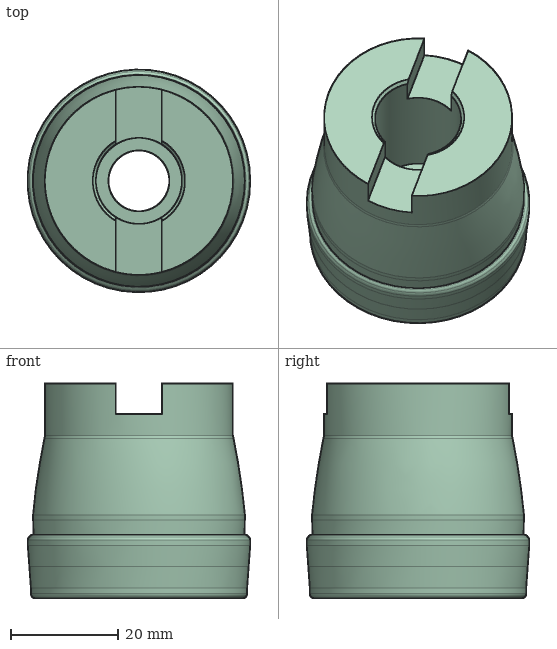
import cadquery as cq

total_height = 40.0
base_height = 11.85

rim_radius = 20.75
shoulder_radius = 20.4
foot_radius = 20.15
sole_radius = 19.33
through_hole_diameter = 11.3
rim_bottom_z = 9.9
rim_top_z = 10.9
shoulder_z = 11.5
crest_radius = 19.9
wall_middle_z = 6.0
foot_top_z = 1.95
foot_bottom_z = 1.0
arc_bulge = 0.7

neck_diameter = 35.0
neck_radius = neck_diameter / 2
belly_radius = 19.75
sleeve_seat_radius = 19.65
belly_bottom_z = 14.6
belly_top_z = 15.6
flare_middle_z = 22.97
flare_middle_radius = 18.83
flare_top_z = 29.78
flare_top_radius = 17.62
neck_bottom_z = 30.3
bore_diameter = 16.0
bore_chamfer = 0.6
slot_width = 8.55
slot_depth = 5.7


def bottom_round_middle():
    """Point halfway along the rounded lower corner of the base ring."""
    diagonal = 0.5 ** 0.5
    radius = sole_radius + (foot_radius - sole_radius) * diagonal
    height = foot_bottom_z * (1 - diagonal)
    return radius, height


def make_base():
    """Tapered ring with a rounded foot, a rounded rim and a through hole."""
    wall_middle_radius = (rim_radius + foot_radius) / 2
    crown_middle_radius = (shoulder_radius + crest_radius) / 2
    crown_middle_z = shoulder_z + arc_bulge * (base_height - shoulder_z)
    rim_middle_radius = shoulder_radius + arc_bulge * (rim_radius - shoulder_radius)
    rim_middle_z = (rim_top_z + shoulder_z) / 2
    hole_radius = through_hole_diameter / 2
    profile = (
        cq.Workplane("XZ")
        .moveTo(hole_radius, 0)
        .lineTo(sole_radius, 0)
        .threePointArc(bottom_round_middle(), (foot_radius, foot_bottom_z))
        .lineTo(foot_radius, foot_top_z)
        .lineTo(wall_middle_radius, wall_middle_z)
        .lineTo(rim_radius, rim_bottom_z)
        .lineTo(rim_radius, rim_top_z)
        .threePointArc((rim_middle_radius, rim_middle_z), (shoulder_radius, shoulder_z))
        .threePointArc((crown_middle_radius, crown_middle_z), (crest_radius, base_height))
        .lineTo(hole_radius, base_height)
        .close()
    )
    return profile.revolve(360, (0, 0, 0), (0, 1, 0))


def make_sleeve_blank():
    """Bored sleeve flaring from the neck to the belly, chamfered at the bore mouth."""
    bore_radius = bore_diameter / 2
    profile = (
        cq.Workplane("XZ")
        .moveTo(bore_radius, base_height)
        .lineTo(sleeve_seat_radius, base_height)
        .lineTo(belly_radius, belly_bottom_z)
        .lineTo(belly_radius, belly_top_z)
        .threePointArc((flare_middle_radius, flare_middle_z), (flare_top_radius, flare_top_z))
        .lineTo(neck_radius, neck_bottom_z)
        .lineTo(neck_radius, total_height)
        .lineTo(bore_radius + bore_chamfer, total_height)
        .lineTo(bore_radius, total_height - bore_chamfer)
        .close()
    )
    return profile.revolve(360, (0, 0, 0), (0, 1, 0))


def make_slot():
    """Driving slot across the top of the neck, running along Y."""
    return (
        cq.Workplane("XY")
        .workplane(offset=total_height - slot_depth)
        .rect(slot_width, 2 * rim_radius)
        .extrude(slot_depth)
    )


base = make_base()
sleeve = make_sleeve_blank().cut(make_slot())

result = cq.Compound.makeCompound([base.val(), *sleeve.solids().vals()])